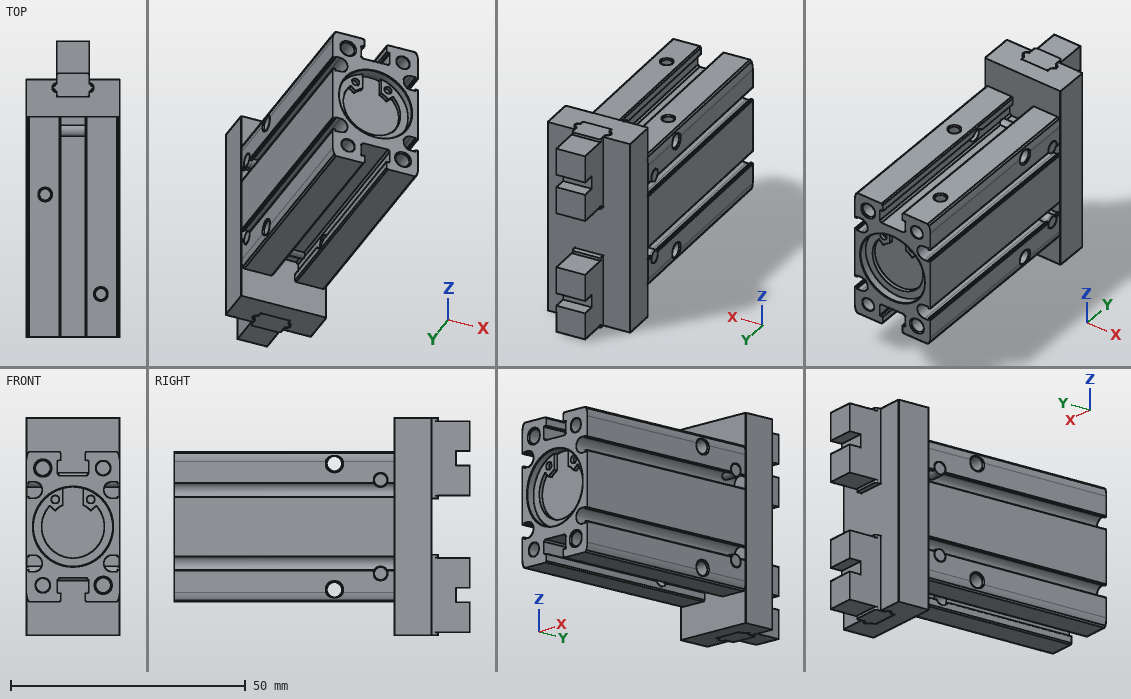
import cadquery as cq
import math

WIDTH = 20.0
HALF_WIDTH = WIDTH / 2
TOTAL_LENGTH = 63.1
PLATE_HEIGHT = 46.4
HALF_PLATE_HEIGHT = PLATE_HEIGHT / 2
BODY_HALF_HEIGHT = 16.0
BODY_LENGTH = 46.95
PLATE_FRONT = 54.95
PLATE_EDGE_CHAMFER = 0.1

CORNER_FLAT = 9.3
CORNER_CHAMFER_X = 9.65
CORNER_CHAMFER_Z = 15.65
SIDE_FLAT_HALF_HEIGHT = 13.95

SLOT_MOUTH_HALF = 2.6
SLOT_MOUTH_CHAMFER = 0.3
SLOT_HALF = 3.35
SLOT_SHOULDER_Z = 14.15
SLOT_SHOULDER_CHAMFER = 0.2
SLOT_FLOOR_Z = 10.9
SLOT_FLOOR_CHAMFER = 0.45

GROOVE_Z = 7.8
GROOVE_RADIUS = 1.75
GROOVE_CENTRE_X = 8.3
GROOVE_LIP_X = 9.4
GROOVE_MOUTH_HALF = 1.4
GROOVE_MOUTH_CHAMFER = 0.2

END_HOLE_X = 6.45
END_HOLE_Z = 12.5
END_HOLE_DEPTH = 6.3
SIDE_HOLE_Y = 34.2
SIDE_HOLE_Z = 13.45
SCREW_HOLE = 3.2
SCREW_HOLE_RIM = 3.8
SMALL_END_HOLE = 3.0
SMALL_END_HOLE_RIM = 3.2

PORT_X = 5.9
PORT_DIAMETER = 2.45
PORT_RIM = 3.0
PORT_DEPTH = 3.8
REAR_PORT_Y = 9.2
FRONT_PORT_Y = 30.4

PIN_DIAMETER = 3.0
PIN_Y = 44.05
PIN_Z = 10.0
PIN_TAPER_LENGTH = 0.5
PIN_TAPER_DROP = 0.1

BORE_DIAMETER = 17.0
BORE_RIM = 17.2
RING_FACE_DEPTH = 1.9
RING_THICKNESS = 0.9
RING_INNER_RADIUS = 6.7
EAR_INNER_RADIUS = 5.1
EAR_END_ANGLE = 138.0
EAR_GAP_HALF = 2.15
EAR_HOLE_DIAMETER = 1.7
EAR_HOLE_X = 3.8
EAR_HOLE_Z = 5.8

JAW_HALF_WIDTH = 3.5
JAW_CENTRE_Z = 14.6
JAW_BASE_HALF_HEIGHT = HALF_PLATE_HEIGHT - JAW_CENTRE_Z
JAW_TIP_HALF_HEIGHT = 7.95
JAW_REAR = 51.25
JAW_BASE_FRONT = 56.3
JAW_EDGE_FILLET = 0.5
JAW_NOTCH_HEIGHT = 3.0
JAW_NOTCH_DEPTH = 2.95
RAIL_Y = 53.2
RAIL_TIP_X = 4.35
TRACK_RADIUS = 1.0
TRACK_CENTRE_X = 3.4


def extrude_along_y(sketch, start, end):
    """Extrude an X-Z sketch drawn on the 'XZ' plane so that it runs from Y = start to Y = end."""
    return sketch.extrude(start - end).translate((0, start, 0))


def hole_with_rim(diameter, rim, depth):
    """Cutter along +Z from the origin: a cylinder with a 45 degree countersunk rim."""
    rim_depth = (rim - diameter) / 2
    return (
        cq.Workplane("XZ")
        .polyline([
            (0, 0),
            (rim / 2, 0),
            (diameter / 2, rim_depth),
            (diameter / 2, depth),
            (0, depth),
        ])
        .close()
        .revolve(360, (0, 0, 0), (0, 1, 0))
    )


def along_y(cutter):
    return cutter.rotate((0, 0, 0), (1, 0, 0), -90)


def along_x(cutter):
    return cutter.rotate((0, 0, 0), (0, 1, 0), 90)


def body_blank():
    """Plain body with chamfered, slightly rounded corners."""
    curve_width = HALF_WIDTH - CORNER_CHAMFER_X
    curve_height = CORNER_CHAMFER_Z - SIDE_FLAT_HALF_HEIGHT
    radius = (curve_width**2 + curve_height**2) / (2 * curve_width)
    half_sweep = math.asin(curve_height / radius) / 2
    middle_x = HALF_WIDTH - radius * (1 - math.cos(half_sweep))
    middle_z = SIDE_FLAT_HALF_HEIGHT + radius * math.sin(half_sweep)
    outline = (
        cq.Workplane("XZ")
        .moveTo(0, BODY_HALF_HEIGHT)
        .lineTo(CORNER_FLAT, BODY_HALF_HEIGHT)
        .lineTo(CORNER_CHAMFER_X, CORNER_CHAMFER_Z)
        .threePointArc((middle_x, middle_z), (HALF_WIDTH, SIDE_FLAT_HALF_HEIGHT))
        .lineTo(HALF_WIDTH, 0)
        .mirrorX()
        .mirrorY()
    )
    return extrude_along_y(outline, 0, BODY_LENGTH)


def t_slot():
    """Cutter for the T-slot along the top of the body."""
    outline = (
        cq.Workplane("XZ")
        .moveTo(0, BODY_HALF_HEIGHT)
        .lineTo(SLOT_MOUTH_HALF + SLOT_MOUTH_CHAMFER, BODY_HALF_HEIGHT)
        .lineTo(SLOT_MOUTH_HALF, BODY_HALF_HEIGHT - SLOT_MOUTH_CHAMFER)
        .lineTo(SLOT_MOUTH_HALF, SLOT_SHOULDER_Z)
        .lineTo(SLOT_HALF - SLOT_SHOULDER_CHAMFER, SLOT_SHOULDER_Z)
        .lineTo(SLOT_HALF, SLOT_SHOULDER_Z - SLOT_SHOULDER_CHAMFER)
        .lineTo(SLOT_HALF, SLOT_FLOOR_Z + SLOT_FLOOR_CHAMFER)
        .lineTo(SLOT_HALF - SLOT_FLOOR_CHAMFER, SLOT_FLOOR_Z)
        .lineTo(0, SLOT_FLOOR_Z)
        .mirrorY()
    )
    return extrude_along_y(outline, 0, BODY_LENGTH)


def side_groove():
    """Cutter for the upper groove on the +X side: a round channel behind a narrower mouth."""
    channel = (
        cq.Workplane("XZ")
        .moveTo(GROOVE_LIP_X, GROOVE_Z + GROOVE_RADIUS)
        .lineTo(GROOVE_CENTRE_X, GROOVE_Z + GROOVE_RADIUS)
        .threePointArc(
            (GROOVE_CENTRE_X - GROOVE_RADIUS, GROOVE_Z),
            (GROOVE_CENTRE_X, GROOVE_Z - GROOVE_RADIUS),
        )
        .lineTo(GROOVE_LIP_X, GROOVE_Z - GROOVE_RADIUS)
        .close()
    )
    mouth_rim_half = GROOVE_MOUTH_HALF + GROOVE_MOUTH_CHAMFER
    mouth = (
        cq.Workplane("XZ")
        .polyline([
            (GROOVE_CENTRE_X, GROOVE_Z + GROOVE_MOUTH_HALF),
            (HALF_WIDTH - GROOVE_MOUTH_CHAMFER, GROOVE_Z + GROOVE_MOUTH_HALF),
            (HALF_WIDTH, GROOVE_Z + mouth_rim_half),
            (HALF_WIDTH, GROOVE_Z - mouth_rim_half),
            (HALF_WIDTH - GROOVE_MOUTH_CHAMFER, GROOVE_Z - GROOVE_MOUTH_HALF),
            (GROOVE_CENTRE_X, GROOVE_Z - GROOVE_MOUTH_HALF),
        ])
        .close()
    )
    return extrude_along_y(channel, 0, BODY_LENGTH).union(extrude_along_y(mouth, 0, BODY_LENGTH))


def cross_pin_holes():
    """Straight bores across the body for the two cross pins."""
    return (
        cq.Workplane("YZ")
        .pushPoints([(PIN_Y, PIN_Z), (PIN_Y, -PIN_Z)])
        .circle(PIN_DIAMETER / 2)
        .extrude(HALF_WIDTH, both=True)
    )


def cross_pins():
    """Fixed pins that fill their bores, show in the slots and grooves, and taper at the ends."""
    return (
        cross_pin_holes()
        .faces("<X or >X")
        .edges()
        .chamfer(PIN_TAPER_LENGTH, PIN_TAPER_DROP)
    )


def cut_holes(body):
    screw_hole = along_y(hole_with_rim(SCREW_HOLE, SCREW_HOLE_RIM, END_HOLE_DEPTH))
    small_hole = along_y(hole_with_rim(SMALL_END_HOLE, SMALL_END_HOLE_RIM, END_HOLE_DEPTH))
    side_hole = along_x(hole_with_rim(SCREW_HOLE, SCREW_HOLE_RIM, HALF_WIDTH))
    port = hole_with_rim(PORT_DIAMETER, PORT_RIM, PORT_DEPTH).rotate((0, 0, 0), (1, 0, 0), 180)

    for side in (-1, 1):
        body = body.cut(screw_hole.translate((side * END_HOLE_X, 0, -side * END_HOLE_Z)))
        body = body.cut(small_hole.translate((side * END_HOLE_X, 0, side * END_HOLE_Z)))
        through_hole = side_hole.translate((-HALF_WIDTH, SIDE_HOLE_Y, side * SIDE_HOLE_Z))
        body = body.cut(through_hole).cut(through_hole.mirror("YZ"))
    for x, y in ((-PORT_X, FRONT_PORT_Y), (PORT_X, REAR_PORT_Y)):
        body = body.cut(port.translate((x, y, BODY_HALF_HEIGHT)))
    return body


def ring_opening():
    """Cutter for the ring's open centre, the gap between its ears and the two ear holes."""
    ear_end = math.radians(EAR_END_ANGLE)
    cos_end = math.cos(ear_end)
    sin_end = math.sin(ear_end)
    ear_corner_z = math.sqrt(EAR_INNER_RADIUS**2 - EAR_GAP_HALF**2)
    gap_top = math.sqrt((BORE_DIAMETER / 2) ** 2 - EAR_GAP_HALF**2)
    ear_middle = (ear_end + math.atan2(ear_corner_z, -EAR_GAP_HALF)) / 2
    ear_middle_x = EAR_INNER_RADIUS * math.cos(ear_middle)
    ear_middle_z = EAR_INNER_RADIUS * math.sin(ear_middle)
    outline = (
        cq.Workplane("XZ")
        .moveTo(-EAR_GAP_HALF, gap_top)
        .lineTo(-EAR_GAP_HALF, ear_corner_z)
        .threePointArc(
            (ear_middle_x, ear_middle_z),
            (EAR_INNER_RADIUS * cos_end, EAR_INNER_RADIUS * sin_end),
        )
        .lineTo(RING_INNER_RADIUS * cos_end, RING_INNER_RADIUS * sin_end)
        .threePointArc(
            (0, -RING_INNER_RADIUS),
            (-RING_INNER_RADIUS * cos_end, RING_INNER_RADIUS * sin_end),
        )
        .lineTo(-EAR_INNER_RADIUS * cos_end, EAR_INNER_RADIUS * sin_end)
        .threePointArc((-ear_middle_x, ear_middle_z), (EAR_GAP_HALF, ear_corner_z))
        .lineTo(EAR_GAP_HALF, gap_top)
        .threePointArc((0, BORE_DIAMETER / 2), (-EAR_GAP_HALF, gap_top))
        .close()
    )
    ear_holes = (
        cq.Workplane("XZ")
        .pushPoints([(-EAR_HOLE_X, EAR_HOLE_Z), (EAR_HOLE_X, EAR_HOLE_Z)])
        .circle(EAR_HOLE_DIAMETER / 2)
    )
    ring_back = RING_FACE_DEPTH + RING_THICKNESS
    opening = extrude_along_y(outline, RING_FACE_DEPTH, ring_back)
    return opening.union(extrude_along_y(ear_holes, RING_FACE_DEPTH, ring_back))


def end_plate():
    plate_thickness = PLATE_FRONT - BODY_LENGTH
    return (
        cq.Workplane("XY")
        .box(WIDTH, plate_thickness, PLATE_HEIGHT)
        .edges("|Z")
        .chamfer(PLATE_EDGE_CHAMFER)
        .translate((0, BODY_LENGTH + plate_thickness / 2, 0))
    )


def jaw_pocket():
    """Cutter for the upper jaw's slot in the plate, with its round tracks."""
    slot = jaw_base_block()
    tracks = (
        cq.Workplane("XY")
        .pushPoints([(-TRACK_CENTRE_X, RAIL_Y), (TRACK_CENTRE_X, RAIL_Y)])
        .circle(TRACK_RADIUS)
        .extrude(2 * JAW_BASE_HALF_HEIGHT)
        .translate((0, 0, HALF_PLATE_HEIGHT - 2 * JAW_BASE_HALF_HEIGHT))
    )
    return slot.union(tracks)


def make_housing():
    body = body_blank()
    slot = t_slot()
    body = body.cut(slot).cut(slot.mirror("XY"))
    groove = side_groove()
    for cutter in (groove, groove.mirror("XY")):
        body = body.cut(cutter).cut(cutter.mirror("YZ"))
    body = cut_holes(body).cut(cross_pin_holes()).union(cross_pins())

    bore = along_y(hole_with_rim(BORE_DIAMETER, BORE_RIM, RING_FACE_DEPTH))
    body = body.cut(bore).cut(ring_opening())

    pocket = jaw_pocket()
    plate = end_plate().cut(pocket).cut(pocket.mirror("XY"))
    return body.union(plate)


def jaw_base_block():
    """Sharp-edged base block of the upper jaw, without its guide ribs."""
    depth = JAW_BASE_FRONT - JAW_REAR
    return (
        cq.Workplane("XY")
        .box(2 * JAW_HALF_WIDTH, depth, 2 * JAW_BASE_HALF_HEIGHT)
        .translate((0, JAW_REAR + depth / 2, JAW_CENTRE_Z))
    )


def make_jaw(side):
    """One jaw; side is 1 for the upper jaw and -1 for the lower jaw."""
    rib_half = RAIL_TIP_X - JAW_HALF_WIDTH
    ribs = (
        cq.Workplane("XY")
        .polyline([
            (RAIL_TIP_X, RAIL_Y),
            (JAW_HALF_WIDTH, RAIL_Y + rib_half),
            (-JAW_HALF_WIDTH, RAIL_Y + rib_half),
            (-RAIL_TIP_X, RAIL_Y),
            (-JAW_HALF_WIDTH, RAIL_Y - rib_half),
            (JAW_HALF_WIDTH, RAIL_Y - rib_half),
        ])
        .close()
        .extrude(2 * JAW_BASE_HALF_HEIGHT)
        .translate((0, 0, JAW_CENTRE_Z - JAW_BASE_HALF_HEIGHT))
    )
    tip_length = TOTAL_LENGTH - RAIL_Y
    tip = (
        cq.Workplane("XY")
        .box(2 * JAW_HALF_WIDTH, tip_length, 2 * JAW_TIP_HALF_HEIGHT)
        .translate((0, RAIL_Y + tip_length / 2, JAW_CENTRE_Z))
    )
    notch = (
        cq.Workplane("XY")
        .box(2 * JAW_HALF_WIDTH, JAW_NOTCH_DEPTH, JAW_NOTCH_HEIGHT)
        .translate((0, TOTAL_LENGTH - JAW_NOTCH_DEPTH / 2, JAW_CENTRE_Z))
    )
    base = jaw_base_block().edges("|Z").fillet(JAW_EDGE_FILLET)
    jaw = base.union(ribs).union(tip).cut(notch)
    return jaw if side > 0 else jaw.mirror("XY")


housing = make_housing()
jaws = [make_jaw(side) for side in (1, -1)]
result = cq.Compound.makeCompound([housing.val(), *[jaw.val() for jaw in jaws]])